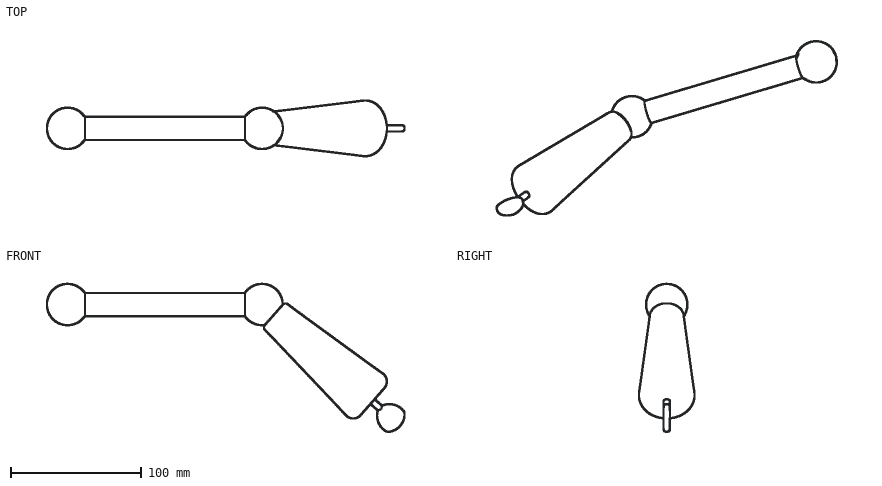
import math

import cadquery as cq

BALL_RADIUS = 16.0
ROD_RADIUS = 9.0
BALL_SPACING = 149.4

GRIP_SLOPE = 41.3
GRIP_START = 12.0
GRIP_END = 113.0
GRIP_NECK_RADIUS = 13.0
GRIP_MOUTH_RADIUS = 22.25
GRIP_NECK_ROUND = 2.5
GRIP_END_ROUND = 7.6

STEM_RADIUS = 2.5
KEY_CENTER = 131.2
KEY_LOBES = 3
KEY_TIP_RADIUS = 11.6
KEY_SIDE_RADIUS = 10.1
KEY_CORNER_ROUND = 4.5
KEY_THICKNESS = 5.0
KEY_EDGE_ROUND = 2.3


def ball(x):
    return cq.Workplane("XY").sphere(BALL_RADIUS).translate((x, 0, 0))


def rod():
    return cq.Workplane("YZ").circle(ROD_RADIUS).extrude(BALL_SPACING)


def grip():
    """Tapered handle along X, rounded at both ends."""
    cone = (
        cq.Workplane("XY")
        .moveTo(GRIP_START, 0)
        .lineTo(GRIP_START, GRIP_NECK_RADIUS)
        .lineTo(GRIP_END, GRIP_MOUTH_RADIUS)
        .lineTo(GRIP_END, 0)
        .close()
        .revolve(360, (0, 0, 0), (1, 0, 0))
    )
    rounded = cone.faces("<X").edges().fillet(GRIP_NECK_ROUND)
    return rounded.faces(">X").edges().fillet(GRIP_END_ROUND)


def stem():
    return cq.Workplane("YZ").circle(STEM_RADIUS).extrude(KEY_CENTER)


def polar(radius, angle):
    return (radius * math.cos(angle), radius * math.sin(angle))


def key():
    """Three-lobed plate with bulging sides; one lobe points back at the grip."""
    step = 2 * math.pi / KEY_LOBES
    outline = cq.Workplane("XZ").moveTo(*polar(KEY_TIP_RADIUS, math.pi))
    for lobe in range(KEY_LOBES):
        start = math.pi + lobe * step
        side = polar(KEY_SIDE_RADIUS, start + step / 2)
        tip = polar(KEY_TIP_RADIUS, start + step)
        outline = outline.threePointArc(side, tip)
    plate = outline.close().extrude(KEY_THICKNESS / 2, both=True)
    plate = plate.edges("|Y").fillet(KEY_CORNER_ROUND)
    plate = plate.faces("<Y or >Y").edges().fillet(KEY_EDGE_ROUND)
    return plate.translate((KEY_CENTER, 0, 0))


handle = grip().union(stem()).union(key())
handle = handle.rotate((0, 0, 0), (0, 1, 0), GRIP_SLOPE).translate((BALL_SPACING, 0, 0))
result = ball(0).union(rod()).union(ball(BALL_SPACING)).union(handle)